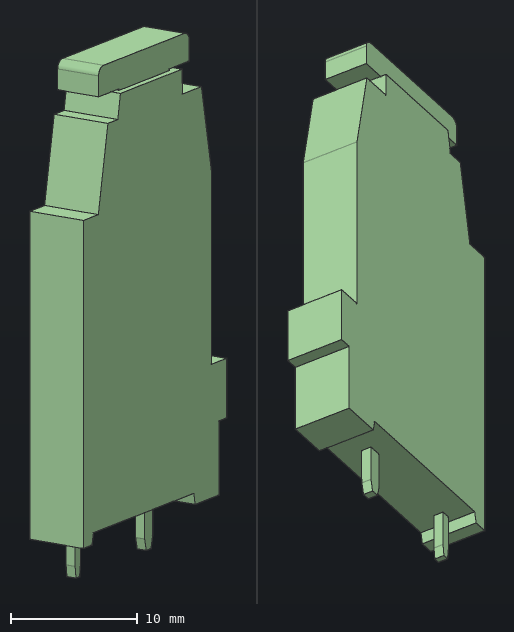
import cadquery as cq


housing_thickness = 5.1
housing_depth = 20.6
total_height = 41.8
pin_tip_drop = 3.2
cap_top_z = total_height - pin_tip_drop

cap_thickness = 3.9
cap_front_y = 3.1
cap_back_y = 16.15
cap_height = 2.42
cap_edge_radius = 0.7
stem_front_y = 6.0
stem_back_y = 13.25
cap_gap = 0.13
cap_bottom_z = cap_top_z - cap_height

neck_top_z = cap_bottom_z - cap_gap
shoulder_z = 34.0
ledge_z = 26.85
latch_top_z = 10.95
latch_bottom_z = 6.05
foot_height = 0.95

ledge_back_y = 2.15
shoulder_front_y = 3.5
neck_front_bottom_y = 4.95
neck_front_top_y = 5.3
neck_back_y = 14.2
shoulder_back_y = 16.95
upper_back_y = 18.4
lower_back_y = 19.5
front_foot_y = 1.25
back_foot_y = 16.05
foot_slant = 0.2

pin_thickness = 0.88
pin_taper_height = 1.0
front_pin = (2.405, 0.8, 0.55)
back_pin = (12.6, 1.15, 0.7)


def extrude_outline(points, thickness):
    """Extrude a closed (Y, Z) outline symmetrically about X = 0."""
    return cq.Workplane("YZ").polyline(points).close().extrude(thickness / 2, both=True)


def make_housing():
    """Flat housing with tapered shoulders, a neck, a rear latch block and two feet."""
    outline = [
        (0, 0),
        (0, ledge_z),
        (ledge_back_y, ledge_z),
        (shoulder_front_y, shoulder_z),
        (neck_front_bottom_y, shoulder_z),
        (neck_front_top_y, neck_top_z),
        (neck_back_y, neck_top_z),
        (neck_back_y, shoulder_z),
        (shoulder_back_y, shoulder_z),
        (upper_back_y, ledge_z),
        (upper_back_y, latch_top_z),
        (housing_depth, latch_top_z),
        (housing_depth, latch_bottom_z),
        (lower_back_y, latch_bottom_z),
        (lower_back_y, 0),
        (back_foot_y, 0),
        (back_foot_y - foot_slant, foot_height),
        (front_foot_y + foot_slant, foot_height),
        (front_foot_y, 0),
    ]
    return extrude_outline(outline, housing_thickness)


def make_cap():
    """Bar with rounded upper ends, standing on the neck by a short stem."""
    bar = extrude_outline(
        [
            (cap_front_y, cap_bottom_z),
            (cap_back_y, cap_bottom_z),
            (cap_back_y, cap_top_z),
            (cap_front_y, cap_top_z),
        ],
        cap_thickness,
    )
    bar = bar.faces(">Z").edges("|X").fillet(cap_edge_radius)
    stem = extrude_outline(
        [
            (stem_front_y, neck_top_z),
            (stem_back_y, neck_top_z),
            (stem_back_y, cap_bottom_z),
            (stem_front_y, cap_bottom_z),
        ],
        cap_thickness,
    )
    return bar.union(stem).clean()


def make_pin(center_y, width, tip_width):
    """Flat contact pin hanging from the housing underside, with a tapered tip."""
    tip_z = -pin_tip_drop
    taper_z = tip_z + pin_taper_height
    outline = [
        (center_y - width / 2, foot_height),
        (center_y - width / 2, taper_z),
        (center_y - tip_width / 2, tip_z),
        (center_y + tip_width / 2, tip_z),
        (center_y + width / 2, taper_z),
        (center_y + width / 2, foot_height),
    ]
    return extrude_outline(outline, pin_thickness)


housing = make_housing()
cap = make_cap()
pins = [make_pin(*pin).val() for pin in (front_pin, back_pin)]

result = cq.Compound.makeCompound([housing.val(), cap.val(), *pins])